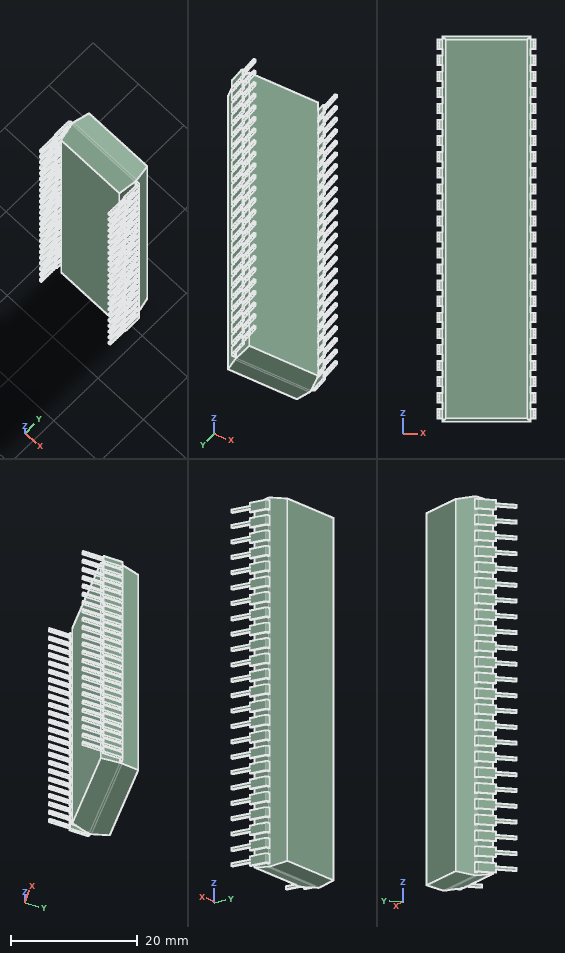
import cadquery as cq

body_length = 60.95
body_width = 13.95
body_taper = 0.55
half_depth = 3.0
lead_thickness = 0.35

lead_count = 24
lead_row_length = 58.4
lead_pitch = lead_row_length / (lead_count - 1)
lead_span = 15.55
shoulder_width = 1.5
pin_width = 0.5
bend_radius = 0.35
overall_depth = 9.8

band_half = lead_thickness / 2
top_y = band_half + half_depth
bottom_y = -top_y
tip_y = top_y - overall_depth
shoulder_end_y = bottom_y


def body_half(direction):
    """Tapered half of the body, narrowing toward +Y (direction 1) or -Y (direction -1)."""
    return (
        cq.Workplane("XZ", origin=(0, direction * band_half, 0))
        .rect(body_width, body_length)
        .workplane(offset=-direction * half_depth)
        .rect(body_width - 2 * body_taper, body_length - 2 * body_taper)
        .loft(ruled=True)
    )


def make_body():
    band = cq.Workplane("XY").box(body_width, lead_thickness, body_length)
    return band.union(body_half(1)).union(body_half(-1))


def make_lead_pair():
    """One lead on each side, sharing a strip that runs through the parting band."""
    shoulder_height = band_half - shoulder_end_y
    inner_span = lead_span - 2 * lead_thickness
    strip = (
        cq.Workplane("XY", origin=(0, band_half - shoulder_height / 2, 0))
        .box(lead_span, shoulder_height, shoulder_width)
        .edges("|Z and >Y")
        .fillet(bend_radius)
    )
    gap = (
        cq.Workplane("XY", origin=(0, -band_half - shoulder_height / 2, 0))
        .box(inner_span, shoulder_height, shoulder_width)
    )
    pair = strip.cut(gap)
    pin_length = shoulder_end_y - tip_y
    pin_y = tip_y + pin_length / 2
    for side in (-1, 1):
        pin_x = side * (lead_span - lead_thickness) / 2
        pin = (
            cq.Workplane("XY", origin=(pin_x, pin_y, 0))
            .box(lead_thickness, pin_length, pin_width)
        )
        pair = pair.union(pin)
    return pair


result = make_body()
lead_pair = make_lead_pair()
for index in range(lead_count):
    lead_z = index * lead_pitch - lead_row_length / 2
    result = result.union(lead_pair.translate((0, 0, lead_z)))